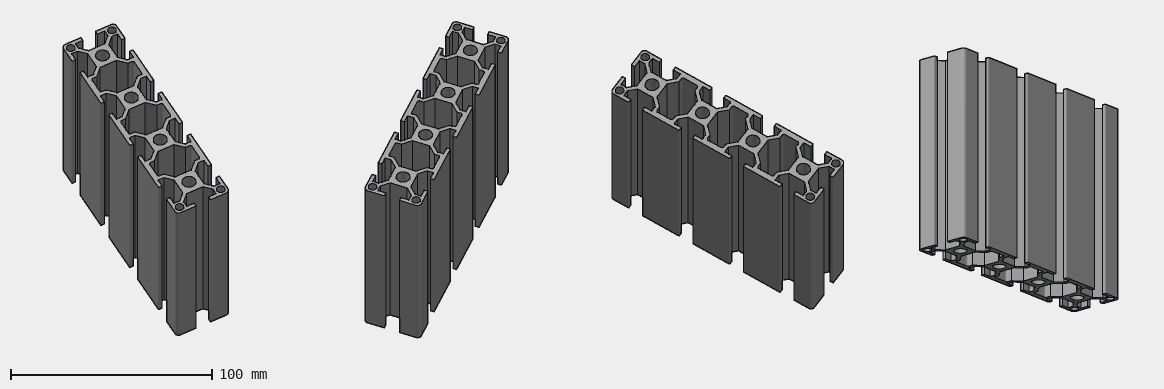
import cadquery as cq

cell_size = 30.0
cell_count = 4
width = cell_size * cell_count
length = 100.0
half_cell = cell_size / 2
corner_radius = 2.0

slot_opening = 8.2
lip_thickness = 2.0
lip_edge_radius = 0.2
slot_inner_width = 16.5
core_size = 12.0
strut_offset = 1.5

chamber_width = 9.5
chamber_height = 23.8
chamber_corner_radius = 1.0

core_bore_diameter = 6.8
corner_bore_diameter = 4.2
corner_bore_inset = 3.4

half_core = core_size / 2
cell_centers = [(i - (cell_count - 1) / 2) * cell_size for i in range(cell_count)]
chamber_centers = [x + half_cell for x in cell_centers[:-1]]


def make_slot():
    """T-slot of a cell centred on the origin, open towards +Y with rounded lip edges."""
    half_opening = slot_opening / 2
    half_mouth = half_opening + lip_edge_radius
    half_inner = slot_inner_width / 2
    half_floor = half_core - strut_offset
    lip_y = half_cell - lip_thickness
    rounding_y = half_cell - lip_edge_radius
    shoulder_y = half_inner + strut_offset
    right_side = [
        (half_floor, half_core),
        (half_inner, shoulder_y),
        (half_inner, lip_y),
        (half_opening, lip_y),
        (half_opening, rounding_y),
    ]
    left_side = [(-x, y) for x, y in reversed(right_side)]
    return (
        cq.Workplane("XY")
        .polyline(right_side)
        .radiusArc((half_mouth, half_cell), lip_edge_radius)
        .lineTo(-half_mouth, half_cell)
        .radiusArc(left_side[0], lip_edge_radius)
        .polyline(left_side[1:], includeCurrent=True)
        .close()
        .extrude(length)
    )


def make_chamber():
    """Hollow chamber centred on the origin, between two cells, with rounded outer corners."""
    half_width = chamber_width / 2
    half_height = chamber_height / 2
    core_x = half_cell - half_core
    core_y = half_core - strut_offset
    shoulder_y = core_y + core_x - half_width
    quarter = [
        (core_x, core_y),
        (half_width, shoulder_y),
        (half_width, half_height),
    ]
    upper = quarter + [(-x, y) for x, y in reversed(quarter)]
    lower = [(-x, -y) for x, y in upper]
    chamber = cq.Workplane("XY").polyline(upper + lower).close().extrude(length)
    outer_corners = chamber.faces(">Y or <Y").edges("|Z")
    return outer_corners.fillet(chamber_corner_radius)


def make_bores(points, diameter):
    """Round channels along the full length."""
    return cq.Workplane("XY").pushPoints(points).circle(diameter / 2).extrude(length)


result = (
    cq.Workplane("XY")
    .rect(width, cell_size)
    .extrude(length)
    .edges("|Z")
    .fillet(corner_radius)
)

slot = make_slot()
for x in cell_centers:
    for angle in (0, 180):
        result = result.cut(slot.rotate((0, 0, 0), (0, 0, 1), angle).translate((x, 0, 0)))
for x, angle in ((cell_centers[0], 90), (cell_centers[-1], -90)):
    result = result.cut(slot.rotate((0, 0, 0), (0, 0, 1), angle).translate((x, 0, 0)))

chamber = make_chamber()
for x in chamber_centers:
    result = result.cut(chamber.translate((x, 0, 0)))

corner_x = width / 2 - corner_bore_inset
corner_y = half_cell - corner_bore_inset
corner_points = [(sx * corner_x, sy * corner_y) for sx in (-1, 1) for sy in (-1, 1)]
result = result.cut(make_bores([(x, 0) for x in cell_centers], core_bore_diameter))
result = result.cut(make_bores(corner_points, corner_bore_diameter))